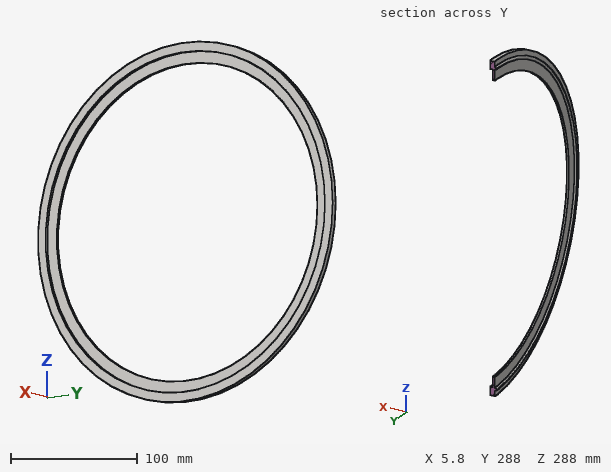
import cadquery as cq

outer_radius = 144.0
inner_radius = 127.3
total_thickness = 5.8
lip_thickness = 2.0
bead_radius = 1.5
bead_center_radius = 138.0

front_x = -total_thickness / 2
back_x = total_thickness / 2
ring_face_x = front_x + bead_radius
lip_back_x = ring_face_x + lip_thickness
bead_outer_radius = bead_center_radius + bead_radius
bead_inner_radius = bead_center_radius - bead_radius
rim_inner_radius = bead_inner_radius

section = (
    cq.Workplane("XY")
    .moveTo(lip_back_x, inner_radius)
    .lineTo(lip_back_x, rim_inner_radius)
    .lineTo(back_x, rim_inner_radius)
    .lineTo(back_x, outer_radius)
    .lineTo(ring_face_x, outer_radius)
    .lineTo(ring_face_x, bead_outer_radius)
    .threePointArc(
        (front_x, bead_center_radius),
        (ring_face_x, bead_inner_radius),
    )
    .lineTo(ring_face_x, inner_radius)
    .close()
)

result = section.revolve(360, (0, 0, 0), (1, 0, 0))